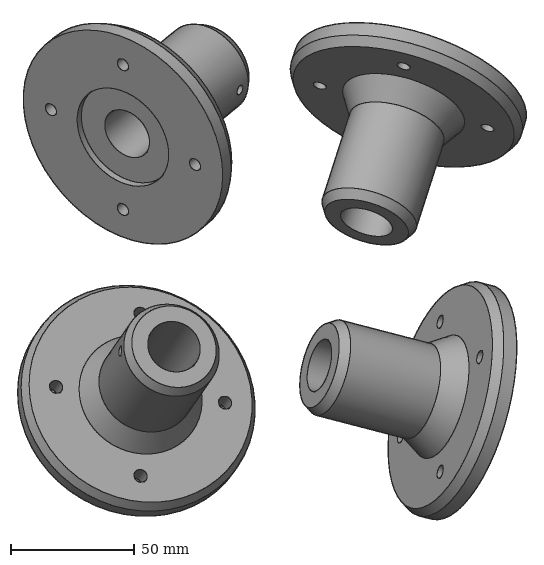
import cadquery as cq
import math

flange_diameter = 98.0
flange_thickness = 10.0
hub_diameter = 40.0
total_length = 65.0
bore_diameter = 22.0
cone_half_angle = 30.0
cone_height = 10.0
cone_base_diameter = hub_diameter + 2 * cone_height * math.tan(math.radians(cone_half_angle))
bevel_length = 4.0
bevel_inset = bevel_length * math.tan(math.radians(cone_half_angle))
recess_diameter = 45.0
recess_depth = 3.0
side_hole_diameter = 4.1
side_hole_position = 55.0
hole_count = 4
hole_diameter = 5.5
hole_circle_diameter = 70.8


def make_body():
    """Revolve the stepped half-profile about the Y axis."""
    flange_radius = flange_diameter / 2
    hub_radius = hub_diameter / 2
    cone_top = flange_thickness + cone_height
    return (
        cq.Workplane("XY")
        .lineTo(flange_radius, 0)
        .lineTo(flange_radius, flange_thickness - bevel_length)
        .lineTo(flange_radius - bevel_inset, flange_thickness)
        .lineTo(cone_base_diameter / 2, flange_thickness)
        .lineTo(hub_radius, cone_top)
        .lineTo(hub_radius, total_length - bevel_length)
        .lineTo(hub_radius - bevel_inset, total_length)
        .lineTo(0, total_length)
        .close()
        .revolve(360, (0, 0, 0), (0, 1, 0))
    )


def mounting_face():
    """Workplane on the flange face at Y = 0; positive extrusion goes into the part (+Y)."""
    return cq.Workplane("XZ").transformed(rotate=(180, 0, 0))


def make_cylinder(diameter, depth):
    return mounting_face().circle(diameter / 2).extrude(depth)


def make_mounting_holes():
    return (
        mounting_face()
        .polarArray(hole_circle_diameter / 2, 0, 360, hole_count)
        .circle(hole_diameter / 2)
        .extrude(flange_thickness)
    )


def make_side_hole():
    """Drill from the part axis outwards along +X, so only one wall is pierced."""
    return (
        cq.Workplane("YZ")
        .center(side_hole_position, 0)
        .circle(side_hole_diameter / 2)
        .extrude(hub_diameter / 2)
    )


result = (
    make_body()
    .cut(make_cylinder(bore_diameter, total_length))
    .cut(make_cylinder(recess_diameter, recess_depth))
    .cut(make_mounting_holes())
    .cut(make_side_hole())
)